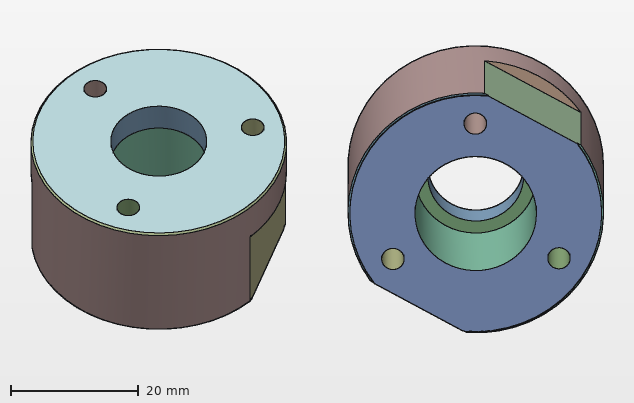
import cadquery as cq

diameter = 40.0
height = 22.0
top_chamfer = 0.3

rim_step_height = 0.3
rim_step_width = 0.3

flat_spacing = 36.0
flat_height = 15.0

bore_diameter = 15.0
top_wall = 5.0
cavity_diameter = 19.0

hole_count = 3
hole_diameter = 3.5
hole_circle_radius = 15.0
first_hole_angle = -90.0


def make_body():
    rim = cq.Workplane("XY").circle(diameter / 2 - rim_step_width).extrude(rim_step_height)
    barrel = (
        cq.Workplane("XY")
        .workplane(offset=rim_step_height)
        .circle(diameter / 2)
        .extrude(height - rim_step_height)
        .faces(">Z")
        .chamfer(top_chamfer)
    )
    return barrel.union(rim)


def cut_flats(body):
    cut_width = diameter - flat_spacing
    for side in (-1, 1):
        cutter = (
            cq.Workplane("XY")
            .center(side * (flat_spacing + cut_width) / 2, 0)
            .rect(cut_width, diameter)
            .extrude(flat_height)
        )
        body = body.cut(cutter)
    return body


def cut_bore(body):
    bore = cq.Workplane("XY").circle(bore_diameter / 2).extrude(height)
    cavity = cq.Workplane("XY").circle(cavity_diameter / 2).extrude(height - top_wall)
    return body.cut(bore).cut(cavity)


def cut_holes(body):
    holes = (
        cq.Workplane("XY")
        .polarArray(hole_circle_radius, first_hole_angle, 360, hole_count)
        .circle(hole_diameter / 2)
        .extrude(height)
    )
    return body.cut(holes)


result = cut_holes(cut_bore(cut_flats(make_body())))